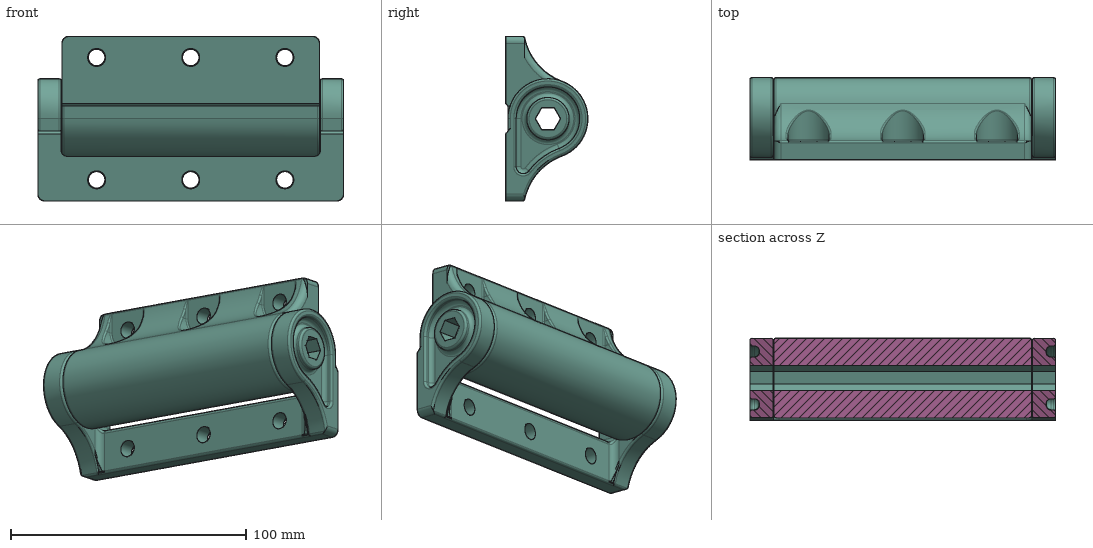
import cadquery as cq
import math

axis_height = 18.0
knuckle_radius = 17.0
knuckle_edge_radius = 1.0

half_length = 65.0
leaf_height = 35.0
plate_thickness = 8.0
plate_edge_radius = 1.0
corner_radius = 3.0
ear_width = 10.0
end_gap = 0.25
slot_half = half_length - ear_width
barrel_half = slot_half - end_gap
leaf_depth = axis_height + knuckle_radius

flank_radius = 25.0
flank_end_radius = 3.0

relief_depth = axis_height - knuckle_radius
relief_start = 5.3
relief_end = 6.5

slot_depth = 16.0
slot_corner_radius = 2.5
gusset_radius = 3.0
slot_edge_radius = 1.5

hex_across_flats = 9.2

pocket_depth = 4.0
pocket_wall = 3.5
pocket_corner_radius = 3.0
pocket_rim_radius = 1.0
pocket_floor_radius = 2.0
hub_radius = 9.0
hub_edge_radius = 1.0

hole_spacing = 40.0
hole_z = 26.0
hole_diameter = 7.0
hole_chamfer = 0.3
recess_radius = 8.75
recess_floor_radius = 0.6
recess_rim_radius = 0.8


def flank_centre():
    """Centre (y, z) of the flank arc, tangent to the knuckle and ending at the plate's edge."""
    reach = knuckle_radius + flank_radius
    edge_y = plate_thickness - axis_height
    edge_distance = math.hypot(edge_y, leaf_height)
    along = (reach**2 + edge_distance**2 - flank_radius**2) / (2 * edge_distance)
    angle = math.atan2(leaf_height, edge_y) - math.acos(along / reach)
    return axis_height + reach * math.cos(angle), reach * math.sin(angle)


def towards(start, end, distance):
    """Point at a distance from start on the way to end."""
    ratio = distance / math.dist(start, end)
    return start[0] + (end[0] - start[0]) * ratio, start[1] + (end[1] - start[1]) * ratio


def arc_middle(centre, start, end):
    """Point halfway along the shorter arc from start to end."""
    chord_middle = ((start[0] + end[0]) / 2, (start[1] + end[1]) / 2)
    return towards(centre, chord_middle, math.dist(centre, start))


axis = (axis_height, 0)
flank = flank_centre()
tangent = towards(axis, flank, knuckle_radius)
plate_edge = (plate_thickness, leaf_height)
flank_middle = arc_middle(flank, plate_edge, tangent)
relief_corner = (relief_depth, relief_start)
relief_edge = (0, relief_end)
plate_top = (0, leaf_height)
knuckle_top = (axis_height, knuckle_radius)
knuckle_bottom = (axis_height, -knuckle_radius)
knuckle_front = (leaf_depth, 0)
knuckle_back = (relief_depth, 0)
knuckle_low = arc_middle(axis, knuckle_bottom, knuckle_back)


def along_x(start):
    """Sketch plane at x = start, with local axes Y and Z, that extrudes toward +X."""
    return cq.Workplane("YZ", origin=(start, 0, 0))


def end_arcs(block):
    """Curved edges of the two end faces."""
    return block.faces("<X or >X").edges("%CIRCLE")


def rounded_corners(half_width):
    """Block that bounds the plate end of a leaf, with its two rounded corners."""
    block = cq.Workplane().box(2 * half_width, leaf_depth, 2 * leaf_height, centered=(True, False, True))
    return block.edges("|Y and >Z").fillet(corner_radius)


def plate(half_width):
    """Flat plate of a leaf, from the relief to its outer edge."""
    outline = [relief_corner, relief_edge, plate_top, plate_edge, (plate_thickness, relief_start)]
    block = along_x(-half_width).polyline(outline).close().extrude(2 * half_width)
    return block.faces(">Z").edges(">Y").fillet(plate_edge_radius)


def web(half_width):
    """Body under the flank, with a rounded edge at the top of the plate."""
    block = (
        along_x(-half_width)
        .polyline([(axis_height, relief_start), relief_corner, relief_edge, plate_top, plate_edge])
        .threePointArc(flank_middle, tangent)
        .close()
        .extrude(2 * half_width)
    )
    return block.faces(">Z").edges(">Y").fillet(plate_edge_radius)


def hex_bore():
    corner_diameter = hex_across_flats / math.cos(math.pi / 6)
    return along_x(-half_length).center(*axis).polygon(6, corner_diameter).extrude(2 * half_length)


def screw_points():
    return [(x, hole_z) for x in (-hole_spacing, 0, hole_spacing)]


def cut_screw_holes(leaf):
    """Row of through holes, chamfered at the mounting face."""
    plane = cq.Workplane("XZ").pushPoints(screw_points())
    holes = plane.circle(hole_diameter / 2).extrude(-plate_thickness)
    countersinks = (
        cq.Workplane("XZ")
        .pushPoints(screw_points())
        .circle(hole_diameter / 2 + hole_chamfer)
        .extrude(-hole_chamfer, taper=45)
    )
    return leaf.cut(holes).cut(countersinks)



def barrel():
    """Barrel that is round except where it merges with the plate."""
    block = (
        along_x(-barrel_half)
        .polyline([knuckle_back, (relief_depth, knuckle_radius), knuckle_top])
        .threePointArc(knuckle_front, knuckle_bottom)
        .threePointArc(knuckle_low, knuckle_back)
        .close()
        .extrude(2 * barrel_half)
    )
    return block.faces("<X or >X").edges().fillet(knuckle_edge_radius)


def round_recess_rim(leaf, x):
    """Round the edge where the walls of the recess at x meet the flank."""
    reach = recess_radius + recess_rim_radius
    above_floor = plate_thickness + 2 * recess_floor_radius
    rim_zone = cq.selectors.BoxSelector(
        (x - reach, above_floor, hole_z - recess_radius), (x + reach, leaf_depth, leaf_height)
    )
    rim = leaf.edges(rim_zone).edges("not |Y")
    return leaf.newObject(rim.vals()).fillet(recess_rim_radius)


def cut_head_recesses(leaf):
    """U-shaped recess over each screw hole, open toward the edge of the plate."""
    for x, z in screw_points():
        recess = (
            cq.Workplane("XZ", origin=(x, plate_thickness, z))
            .moveTo(-recess_radius, leaf_height)
            .lineTo(-recess_radius, 0)
            .threePointArc((0, -recess_radius), (recess_radius, 0))
            .lineTo(recess_radius, leaf_height)
            .close()
            .extrude(-leaf_depth)
        )
        recess = recess.edges("<Y").edges("not >Z").fillet(recess_floor_radius)
        leaf = round_recess_rim(leaf.cut(recess), x)
    return leaf


def upper_leaf():
    flank_web = end_arcs(web(barrel_half)).fillet(flank_end_radius)
    leaf = plate(barrel_half).union(flank_web).intersect(rounded_corners(barrel_half))
    leaf = cut_screw_holes(cut_head_recesses(leaf))
    return leaf.union(barrel()).cut(hex_bore())



def slot():
    opening = cq.Workplane().box(2 * slot_half, 2 * leaf_depth, 2 * slot_depth)
    return opening.edges("|Y and >Z").fillet(slot_corner_radius)


def ear(start):
    """One ear with rounded edges along the knuckle and the flank, starting at x = start."""
    block = (
        along_x(start)
        .polyline([knuckle_back, relief_corner, relief_edge, plate_top, plate_edge])
        .threePointArc(flank_middle, tangent)
        .threePointArc(knuckle_bottom, knuckle_back)
        .close()
        .extrude(ear_width)
    )
    block = block.faces(">Z").edges(">Y").fillet(plate_edge_radius)
    ends = block.faces("<X or >X")
    relief_line = ends.edges("|Z").edges(">Y")
    rim = ends.edges("%CIRCLE").add(relief_line)
    return block.newObject(rim.vals()).fillet(knuckle_edge_radius)


def gussets():
    """Concave fillets where the plate meets the inner faces of the ears."""
    corner_x = slot_half - gusset_radius
    top_y = plate_thickness + gusset_radius
    bend = gusset_radius * math.sqrt(0.5)
    strip = (
        cq.Workplane("XY")
        .moveTo(corner_x, plate_thickness)
        .threePointArc((corner_x + bend, top_y - bend), (slot_half, top_y))
        .lineTo(slot_half, plate_thickness)
        .close()
        .extrude(leaf_height)
    )
    return strip.union(strip.mirror("YZ")).intersect(web(half_length)).cut(slot())


def pocket():
    """Recess that follows the ear's outline, entering the face at x = -half_length."""
    wall_radius = knuckle_radius - pocket_wall
    wall_arc_radius = flank_radius + pocket_wall
    wall_y = axis_height - wall_radius
    corner_y = wall_y + pocket_corner_radius
    corner_reach = wall_arc_radius + pocket_corner_radius
    corner = (corner_y, flank[1] - math.sqrt(corner_reach**2 - (corner_y - flank[0]) ** 2))
    corner_start = (wall_y, corner[1])
    corner_end = towards(corner, flank, pocket_corner_radius)
    wall_tangent = towards(axis, flank, wall_radius)
    turn = (math.pi + math.atan2(corner_end[1] - corner[1], corner_end[0] - corner[0])) / 2
    corner_top = (
        corner[0] + pocket_corner_radius * math.cos(turn),
        corner[1] + pocket_corner_radius * math.sin(turn),
    )
    block = (
        along_x(-half_length)
        .moveTo(wall_y, 0)
        .lineTo(*corner_start)
        .threePointArc(corner_top, corner_end)
        .threePointArc(arc_middle(flank, corner_end, wall_tangent), wall_tangent)
        .threePointArc((axis_height, -wall_radius), (wall_y, 0))
        .close()
        .extrude(pocket_depth)
    )
    return block.faces(">X").edges().fillet(pocket_floor_radius)


def hub():
    """Turned hub, flush with the ear's outer face and flared at the pocket floor."""
    bend = math.sqrt(0.5)
    flare_start = pocket_depth - pocket_floor_radius
    flare_top = hub_radius + pocket_floor_radius
    face_radius = hub_radius - hub_edge_radius
    edge_middle = (hub_edge_radius * (1 - bend), face_radius + hub_edge_radius * bend)
    flare_middle = (flare_start + pocket_floor_radius * bend, flare_top - pocket_floor_radius * bend)
    return (
        cq.Workplane("XY", origin=(-half_length, axis_height, 0))
        .lineTo(0, face_radius)
        .threePointArc(edge_middle, (hub_edge_radius, hub_radius))
        .lineTo(flare_start, hub_radius)
        .threePointArc(flare_middle, (pocket_depth, flare_top))
        .lineTo(pocket_depth, 0)
        .close()
        .revolve(360, (0, 0, 0), (1, 0, 0))
    )


def left_ear():
    """Ear at -X with its pocket, the pocket's rounded rim and the hub."""
    pocketed = ear(-half_length).cut(pocket())
    rim = pocketed.faces("<X").wires(cq.selectors.LengthNthSelector(0)).edges()
    return pocketed.newObject(rim.vals()).fillet(pocket_rim_radius).union(hub())


def lower_leaf():
    plate_half = half_length - (ear_width + pocket_depth) / 2
    leaf = plate(plate_half).cut(slot()).union(gussets())
    slot_edge = cq.NearestToPointSelector((0, plate_thickness, slot_depth))
    leaf = leaf.edges(slot_edge).fillet(slot_edge_radius)
    one_ear = left_ear()
    leaf = leaf.union(one_ear).union(one_ear.mirror("YZ"))
    leaf = cut_screw_holes(leaf.intersect(rounded_corners(half_length))).cut(hex_bore())
    return leaf.mirror("XY")


result = cq.Compound.makeCompound([upper_leaf().val(), lower_leaf().val()])